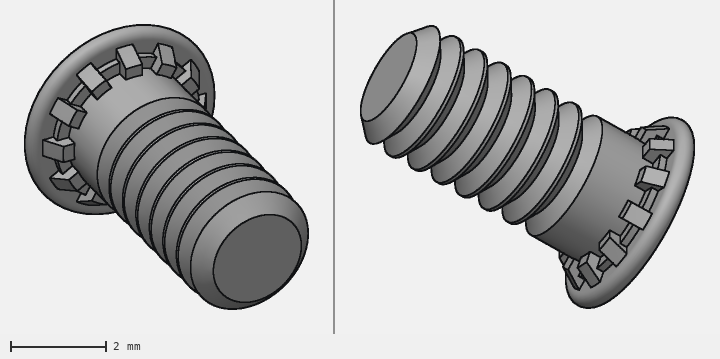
import cadquery as cq

length = 6.35

head_radius = 2.235
head_thickness = 0.43

collar_radius = 1.7
collar_end = 0.6

rib_count = 12
rib_width = 0.395
rib_base_radius = 1.95
rib_end_radius = 1.69
rib_end = 0.865

shank_radius = 1.43
tip_chamfer = 0.38

groove_count = 7
first_groove = 2.15
last_groove = 5.75
groove_pitch = (last_groove - first_groove) / (groove_count - 1)
groove_half_width = 0.26
groove_root_radius = 1.065


def revolve_about_x(profile):
    """Turn a closed XY profile a full revolution around the X axis."""
    return profile.revolve(360, (0, 0, 0), (1, 0, 0))


def make_head():
    """Disc whose rim is one full half-round."""
    face_radius = head_radius - head_thickness / 2
    profile = (
        cq.Workplane("XY")
        .lineTo(0, face_radius)
        .threePointArc((head_thickness / 2, head_radius), (head_thickness, face_radius))
        .lineTo(head_thickness, 0)
        .close()
    )
    return revolve_about_x(profile)


def make_collar():
    """Low step under the head, between the ribs."""
    return cq.Workplane("YZ").circle(collar_radius).extrude(collar_end)


def make_ribs():
    """Radial ribs under the head, with their outer faces on a common cone."""
    cone = revolve_about_x(
        cq.Workplane("XY")
        .moveTo(head_thickness, 0)
        .lineTo(head_thickness, rib_base_radius)
        .lineTo(rib_end, rib_end_radius)
        .lineTo(rib_end, 0)
        .close()
    )
    bars = cq.Workplane("XY")
    for index in range(rib_count // 2):
        bar = cq.Workplane("XY").box(
            rib_end, 2 * head_radius, rib_width, centered=(False, True, True)
        )
        bars = bars.union(bar.rotate((0, 0, 0), (1, 0, 0), index * 360 / rib_count))
    return cone.intersect(bars)


def make_shank():
    """Cylinder with a chamfered tip and a row of V-grooves."""
    shank = cq.Workplane("YZ").circle(shank_radius).extrude(length)
    shank = shank.faces(">X").chamfer(tip_chamfer)
    for index in range(groove_count):
        root = first_groove + index * groove_pitch
        groove = (
            cq.Workplane("XY")
            .moveTo(root - groove_half_width, shank_radius)
            .lineTo(root, groove_root_radius)
            .lineTo(root + groove_half_width, shank_radius)
            .close()
        )
        shank = shank.cut(revolve_about_x(groove))
    return shank


result = make_head().union(make_collar()).union(make_ribs()).union(make_shank())